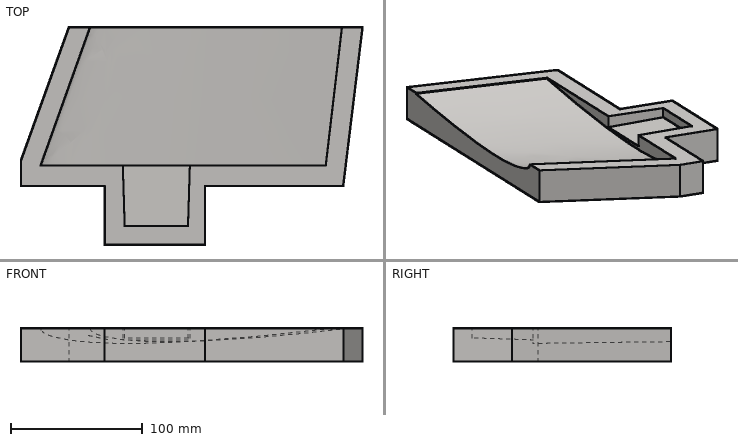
import cadquery as cq
import math


block_height = 25.4
block_length = 165.1
root_left_x = 0.0
root_right_x = 244.4
tip_left_x = 36.4
tip_right_x = 259.09
blade_start_y = 44.45
left_bevel_y = 64.0
stub_block_left_x = 63.5
stub_block_width = 76.2

root_section_y = 60.2
root_leading_x = 15.0
root_chord = 216.1
tip_leading_x = 52.5
tip_chord = 190.9
thickness_ratio = 0.106
trailing_edge_step = 0.4
naca_thickness_factor = 5
section_points = 24

stub_end_y = 14.3
stub_centre_x = 102.7
stub_root_width = 50.8
stub_end_width = 48.0
stub_root_depth = 8.8
stub_end_depth = 7.3


def half_thickness(fraction, chord):
    """Half thickness of a NACA four-digit symmetric foil at a fraction of its chord."""
    shape = (
        0.2969 * math.sqrt(fraction)
        - 0.1260 * fraction
        - 0.3516 * fraction**2
        + 0.2843 * fraction**3
        - 0.1015 * fraction**4
    )
    return naca_thickness_factor * thickness_ratio * chord * shape


def section_wire(y, leading_x, chord):
    """Lower half of the foil section, closed along the parting face."""
    curve_points = []
    for i in range(section_points + 1):
        fraction = (1 - math.cos(math.pi * i / section_points)) / 2
        depth = half_thickness(fraction, chord) + trailing_edge_step * fraction
        curve_points.append(cq.Vector(leading_x + fraction * chord, y, block_height - depth))
    trailing_top = cq.Vector(leading_x + chord, y, block_height)
    return cq.Wire.assembleEdges([
        cq.Edge.makeSpline(curve_points),
        cq.Edge.makeLine(curve_points[-1], trailing_top),
        cq.Edge.makeLine(trailing_top, curve_points[0]),
    ])


def make_block():
    stub_block_right_x = stub_block_left_x + stub_block_width
    outline = [
        (stub_block_left_x, 0),
        (stub_block_right_x, 0),
        (stub_block_right_x, blade_start_y),
        (root_right_x, blade_start_y),
        (tip_right_x, block_length),
        (tip_left_x, block_length),
        (root_left_x, left_bevel_y),
        (root_left_x, blade_start_y),
        (stub_block_left_x, blade_start_y),
    ]
    return cq.Workplane("XY").polyline(outline).close().extrude(block_height)


def make_blade_cavity():
    root = section_wire(root_section_y, root_leading_x, root_chord)
    tip = section_wire(block_length, tip_leading_x, tip_chord)
    return cq.Solid.makeLoft([root, tip], True)


def stub_wire(y, width, depth):
    corners = [
        (stub_centre_x - width / 2, y, block_height),
        (stub_centre_x + width / 2, y, block_height),
        (stub_centre_x + width / 2, y, block_height - depth),
        (stub_centre_x - width / 2, y, block_height - depth),
    ]
    return cq.Wire.makePolygon([cq.Vector(*corner) for corner in corners], close=True)


def make_stub_cavity():
    end = stub_wire(stub_end_y, stub_end_width, stub_end_depth)
    root = stub_wire(root_section_y, stub_root_width, stub_root_depth)
    return cq.Solid.makeLoft([end, root], True)


result = make_block().cut(cq.Workplane(make_blade_cavity())).cut(cq.Workplane(make_stub_cavity()))